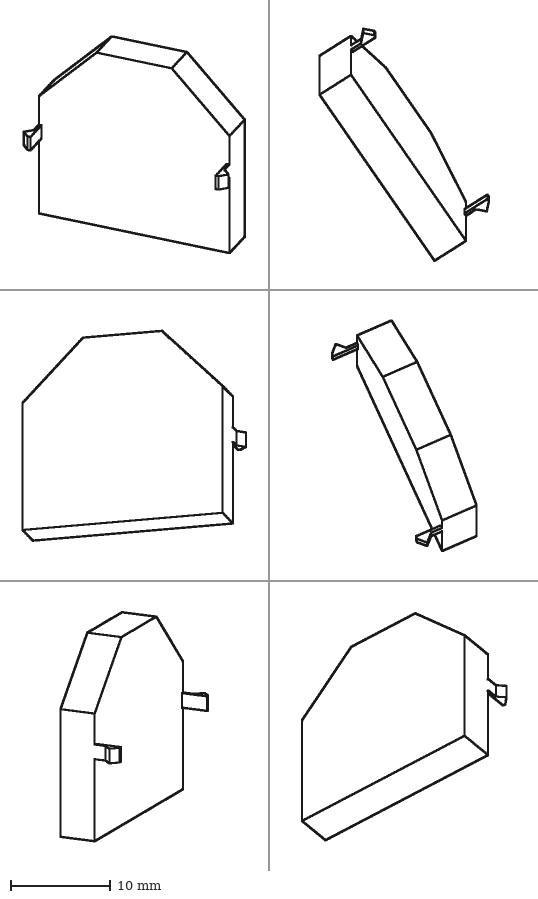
import cadquery as cq

overall_width = 22.6
overall_depth = 6.6
body_height = 19.8

body_width = 21.05
body_depth = 3.82
corner_cut = 6.38

clip_thickness = 0.3
clip_width = 1.54
clip_center_height = 9.4

half_body = body_width / 2
clip_length = overall_depth - body_depth
barb_reach = (overall_width - body_width) / 2
barb_half_length = barb_reach


def make_body():
    """Plate with its two upper corners cut at 45 degrees; front face at Y = 0."""
    return (
        cq.Workplane("XY")
        .box(body_width, body_depth, body_height, centered=(True, False, False))
        .faces(">Z")
        .edges("|Y")
        .chamfer(corner_cut)
    )


def make_clip(side):
    """Flat arm with an outward triangular barb; side is -1 (left) or +1 (right)."""
    outer = side * half_body
    inner = side * (half_body - clip_thickness)
    tip = side * (half_body + barb_reach)
    root = body_depth / 2
    outline = [
        (inner, root),
        (outer, root),
        (outer, -clip_length + 2 * barb_half_length),
        (tip, -clip_length + barb_half_length),
        (outer, -clip_length),
        (inner, -clip_length),
    ]
    return (
        cq.Workplane("XY", origin=(0, 0, clip_center_height - clip_width / 2))
        .polyline(outline)
        .close()
        .extrude(clip_width)
    )


result = make_body()
for side in (-1, 1):
    result = result.union(make_clip(side))